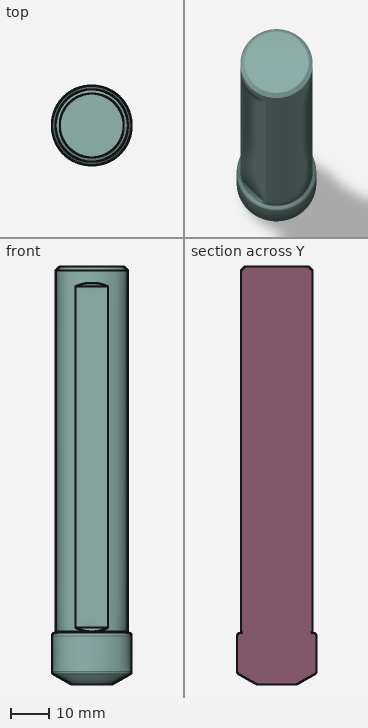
import cadquery as cq

total_length = 110.0
shaft_diameter = 19.0
collar_diameter = 21.0
collar_top = 13.6
tip_diameter = 10.6
cone_height = 3.0

top_chamfer = 1.1
bottom_chamfer = 0.3
collar_top_round = 0.9
collar_bottom_round = 0.9

flat_depth = 1.0
flat_bottom = 15.0
flat_top = 104.7

shaft_radius = shaft_diameter / 2
collar_radius = collar_diameter / 2


def make_collar():
    """Collar with a conical underside and rounded rims."""
    collar = (
        cq.Workplane("XZ")
        .polyline([
            (0, 0),
            (tip_diameter / 2, 0),
            (collar_radius, cone_height),
            (collar_radius, collar_top),
            (0, collar_top),
        ])
        .close()
        .revolve(360, (0, 0, 0), (0, 1, 0))
    )
    collar = collar.faces(">Z").edges().fillet(collar_top_round)
    widest_circles = cq.selectors.RadiusNthSelector(-1)
    return collar.edges("%CIRCLE").edges(widest_circles).edges("<Z").fillet(collar_bottom_round)


def make_shaft():
    """Round shaft standing on the collar, with chamfered ends."""
    return (
        cq.Workplane("XY")
        .workplane(offset=collar_top)
        .circle(shaft_radius)
        .extrude(total_length - collar_top)
        .faces(">Z")
        .edges()
        .chamfer(top_chamfer)
        .faces("<Z")
        .edges()
        .chamfer(bottom_chamfer)
    )


def make_flat_cutter():
    """Trapezoidal block that leaves a flat on the -Y side of the shaft."""
    flat_y = -(shaft_radius - flat_depth)
    outer_y = -shaft_radius
    return (
        cq.Workplane("YZ")
        .polyline([
            (flat_y, flat_bottom),
            (outer_y, flat_bottom - flat_depth),
            (outer_y, flat_top + flat_depth),
            (flat_y, flat_top),
        ])
        .close()
        .extrude(shaft_radius, both=True)
    )


front_flat = make_flat_cutter()
back_flat = front_flat.mirror("XZ")
shaft = make_shaft().cut(front_flat).cut(back_flat)
result = make_collar().union(shaft)